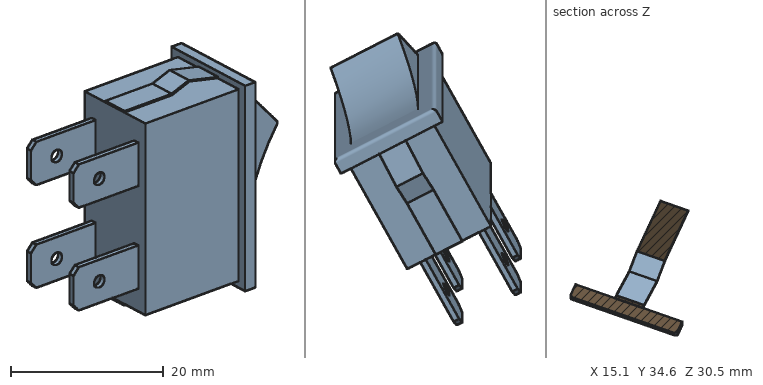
import cadquery as cq
import math

total_depth = 34.57
terminal_length = 11.03
body_depth = 15.9
bezel_thickness = 2.05

rear_y = -total_depth / 2
body_rear_y = rear_y + terminal_length
bezel_back_y = body_rear_y + body_depth
bezel_front_y = bezel_back_y + bezel_thickness
rocker_tip_y = total_depth / 2

bezel_width = 15.1
bezel_height = 30.0
bezel_edge_radius = 0.5
body_width = 12.45
body_height = 28.0

rocker_width = 10.0
rocker_top_z = 12.75
rocker_tip_z = 6.3
rocker_bottom_z = -11.25
rocker_tip_radius = 0.4
rocker_tip_overshoot = 0.115
rocker_face_sag = 1.45

terminal_thickness = 0.83
terminal_height = 6.33
terminal_x = 4.35
terminal_z = 7.5
terminal_chamfer_length = 0.9
terminal_chamfer_height = 1.0
terminal_hole_diameter = 1.75
terminal_hole_from_tip = 4.4

clip_width = 3.95
clip_thickness = 0.2
clip_peak_span = 30.53
clip_peak_z = clip_peak_span / 2
clip_peak_from_bezel = 4.95
clip_bend_from_bezel = 7.88


def box_between(width, y_start, y_end, height):
    """Block centred in X and Z that spans two Y positions."""
    depth = y_end - y_start
    return cq.Workplane("XY").box(width, depth, height).translate((0, y_start + depth / 2, 0))


def make_bezel():
    bezel = box_between(bezel_width, bezel_back_y, bezel_front_y, bezel_height)
    return bezel.faces(">Y").edges().fillet(bezel_edge_radius)


def make_rocker():
    """Wedge with a flat upper face and a hollow lower face that meet in a rounded tip."""
    tip_y = rocker_tip_y + rocker_tip_overshoot
    chord_y = bezel_front_y - tip_y
    chord_z = rocker_bottom_z - rocker_tip_z
    chord = math.hypot(chord_y, chord_z)
    middle_y = tip_y + chord_y / 2 + rocker_face_sag * chord_z / chord
    middle_z = rocker_tip_z + chord_z / 2 - rocker_face_sag * chord_y / chord
    profile = (
        cq.Workplane("YZ")
        .moveTo(bezel_front_y, rocker_top_z)
        .lineTo(tip_y, rocker_tip_z)
        .threePointArc((middle_y, middle_z), (bezel_front_y, rocker_bottom_z))
        .close()
    )
    return profile.extrude(rocker_width / 2, both=True).edges("|X and >Y").fillet(rocker_tip_radius)


def make_terminal(x, z):
    """Flat blade with chamfered tip corners and a cross hole."""
    half_height = terminal_height / 2
    tip_half_height = half_height - terminal_chamfer_height
    shoulder_y = rear_y + terminal_chamfer_length
    blade = (
        cq.Workplane("YZ")
        .polyline([
            (body_rear_y, -half_height),
            (shoulder_y, -half_height),
            (rear_y, -tip_half_height),
            (rear_y, tip_half_height),
            (shoulder_y, half_height),
            (body_rear_y, half_height),
        ])
        .close()
        .extrude(terminal_thickness / 2, both=True)
    )
    hole = (
        cq.Workplane("YZ")
        .center(rear_y + terminal_hole_from_tip, 0)
        .circle(terminal_hole_diameter / 2)
        .extrude(terminal_thickness, both=True)
    )
    return blade.cut(hole).translate((x, 0, z))


def make_housing():
    """Body, bezel, rocker and four terminals as one solid."""
    housing = box_between(body_width, body_rear_y, bezel_back_y, body_height)
    housing = housing.union(make_bezel()).union(make_rocker())
    for x in (-terminal_x, terminal_x):
        for z in (-terminal_z, terminal_z):
            housing = housing.union(make_terminal(x, z))
    return housing


def make_clip():
    """Bent strip on the top of the body, arched between the bezel and its flat tail."""
    inner_z = body_height / 2
    outer_z = inner_z + clip_thickness
    peak_y = bezel_back_y - clip_peak_from_bezel
    bend_y = bezel_back_y - clip_bend_from_bezel
    return (
        cq.Workplane("YZ")
        .polyline([
            (body_rear_y, inner_z),
            (bend_y, inner_z),
            (peak_y, clip_peak_z - clip_thickness),
            (bezel_back_y, inner_z),
            (bezel_back_y, outer_z),
            (peak_y, clip_peak_z),
            (bend_y, outer_z),
            (body_rear_y, outer_z),
        ])
        .close()
        .extrude(clip_width / 2, both=True)
    )


housing = make_housing()
clips = []
for turn in (0, 180):
    clips.append(make_clip().rotate((0, 0, 0), (0, 1, 0), turn))

result = cq.Compound.makeCompound([housing.val(), *[clip.val() for clip in clips]])